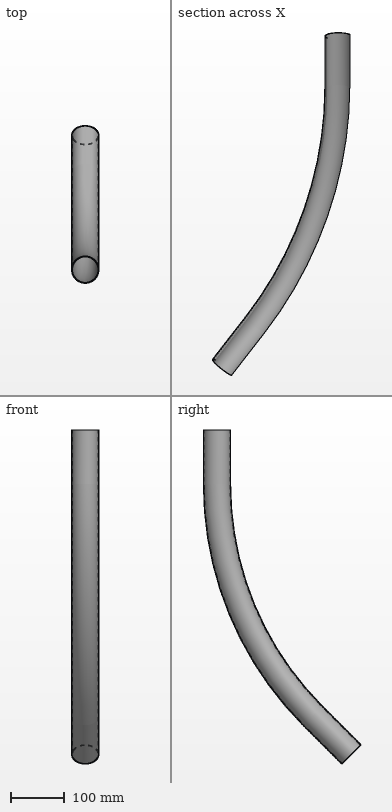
import cadquery as cq
import math

OUTER_DIAMETER = 50.8
INNER_DIAMETER = 47.6

STRAIGHT_LENGTH = 101.6
BEND_RADIUS = 609.6
BEND_ANGLE = math.radians(45)


def point_on_bend(angle):
    """Centreline point (Y, Z) at an angle past the bend's start at the origin."""
    return (
        BEND_RADIUS * (1 - math.cos(angle)),
        -BEND_RADIUS * math.sin(angle),
    )


def make_centreline():
    """Path in the YZ plane, running down from the top end and bending toward +Y."""
    bend_end_y, bend_end_z = point_on_bend(BEND_ANGLE)
    lower_end = (
        bend_end_y + STRAIGHT_LENGTH * math.sin(BEND_ANGLE),
        bend_end_z - STRAIGHT_LENGTH * math.cos(BEND_ANGLE),
    )
    return (
        cq.Workplane("YZ")
        .moveTo(0, STRAIGHT_LENGTH)
        .lineTo(0, 0)
        .threePointArc(point_on_bend(BEND_ANGLE / 2), (bend_end_y, bend_end_z))
        .lineTo(*lower_end)
    )


def make_tube():
    """Sweep the ring section along the centreline, leaving both ends open."""
    return (
        cq.Workplane("XY", origin=(0, 0, STRAIGHT_LENGTH))
        .circle(OUTER_DIAMETER / 2)
        .circle(INNER_DIAMETER / 2)
        .sweep(make_centreline())
    )


result = make_tube()